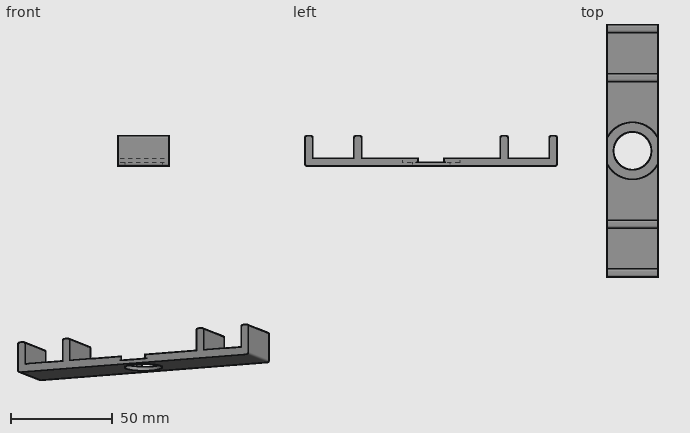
import cadquery as cq

length = 124.0
width = 25.0
height = 15.0

base_thickness = 4.0
wall_thickness = 4.0
wall_pitch = 24.0
edge_radius = 1.2

hole_diameter = 18.5
recess_diameter = 28.0
recess_depth = 2.0

outer_wall_y = (length - wall_thickness) / 2
inner_wall_y = outer_wall_y - wall_pitch


def make_base():
    """Flat plate with its two lower end edges rounded."""
    plate = cq.Workplane("XY").box(width, length, base_thickness, centered=(True, True, False))
    return plate.faces("<Z").edges("|X").fillet(edge_radius)


def make_wall(center_y):
    """Full-width upright wall with both long top edges rounded."""
    wall = (
        cq.Workplane("XY", origin=(0, center_y, base_thickness))
        .box(width, wall_thickness, height - base_thickness, centered=(True, True, False))
    )
    return wall.faces(">Z").edges("|X").fillet(edge_radius)


body = make_base()
for wall_y in (-outer_wall_y, -inner_wall_y, inner_wall_y, outer_wall_y):
    body = body.union(make_wall(wall_y))

through_hole = cq.Workplane("XY").circle(hole_diameter / 2).extrude(base_thickness)

recess = (
    cq.Workplane("XY", origin=(0, 0, base_thickness - recess_depth))
    .circle(recess_diameter / 2)
    .extrude(recess_depth)
)

result = body.cut(through_hole).cut(recess).clean()